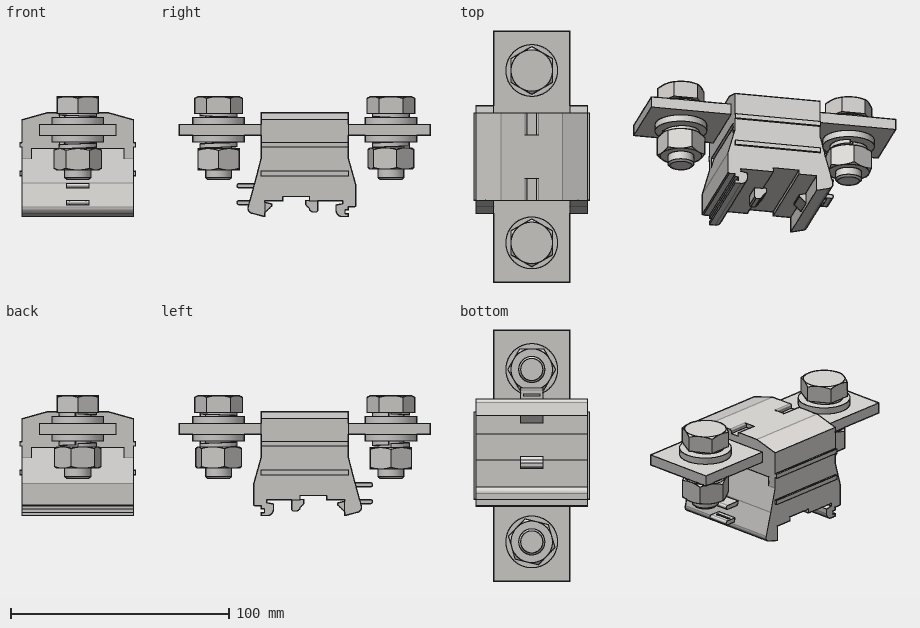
import cadquery as cq
import math

BAR_LENGTH = 115.0
BAR_WIDTH = 35.0
BAR_BOTTOM = 37.3
BAR_TOP = 42.3
BAR_MIDDLE = (BAR_BOTTOM + BAR_TOP) / 2

HOUSING_WIDTH = 51.1
HOUSING_LENGTH = 40.0
HOUSING_TOP = 47.6
ROOF_FLAT_WIDTH = 28.1
EAVES_HEIGHT = 44.4
HALF_LENGTH = HOUSING_LENGTH / 2
SKIRT_TOP = 26.7
FRONT_CREASE = (-22.9, 15.5)
BACK_CREASE = (23.3, 14.7)
RECESS_WIDTH = 42.5
RECESS_TOP = 31.2

RAIL_SEAT = 7.2
POCKET_TOP = 9.2
POCKET_FRONT = -10.0
POCKET_BACK = 2.1
FRONT_FOOT_INNER = -18.3
FRONT_FOOT_CORNER = (-26.6, 2.2)
FRONT_FOOT_RADIUS = 4.7 / 2
HOOK_INNER = 14.3
HOOK_ROOT = 17.4
HOOK_RADIUS = 3.0
HOOK_LIP = (HOOK_INNER, 5.4)
HOOK_THROAT = 6.0
NOTCH_FACE = 18.5
NOTCH_BOTTOM = 1.4
NOTCH_TOP = 3.1
HEEL_HEIGHT = 4.5
HEEL_CHAMFER_WIDTH = 0.6
HEEL_CHAMFER_HEIGHT = 0.3

RIB_SPAN = 53.0
RIB_HEIGHT = 2.1
RIB_CENTRES = (19.8, 32.9)

LABEL_SLOT_RIM_WIDTH = 6.0
LABEL_SLOT_LENGTH = 10.0
LABEL_SLOT_DEPTH = 2.0
LABEL_SLOT_ROUND = 0.9

LATCH_WIDTH = 10.2
FINGER_TOP = 7.5
LATCH_FINGER = [
    (6.0, FINGER_TOP),
    (6.0, 2.8),
    (5.3, 2.1),
    (3.5, 2.1),
    (2.1, 3.2),
    (2.1, 3.8),
    (0.3, 5.5),
    (0.3, FINGER_TOP),
]
LATCH_NOSE = [
    (FRONT_FOOT_INNER, 6.7),
    (-15.1, 5.9),
    (-15.1, 5.0),
    (FRONT_FOOT_INNER, 1.8),
]
TAB_TIP = -31.0
TAB_ROOT = -20.7
TAB_THICKNESS = 2.0
SLOTTED_TAB_CENTRE = 6.4
PLAIN_TAB_CENTRE = 14.1
TAB_SLOT_LENGTH = 7.5
TAB_SLOT_WIDTH = 1.0
TAB_SLOT_SETBACK = 3.3

SCREW_OFFSET = 39.5
SCREW_DIAMETER = 12.0
SCREW_TIP = 17.0
SCREW_TIP_CHAMFER = 0.9
HEX_FLATS = 19.0
HEAD_BOTTOM = 47.2
HEAD_TOP = 55.0
HEAD_TURN = 90
HEX_CHAMFER = 0.8
NUT_HEIGHT = 9.8
FRONT_NUT_TOP = 31.2
BACK_NUT_TOP = 31.5
FRONT_NUT_TURN = 0
BACK_NUT_TURN = 13.8
WASHER_DIAMETER = 23.7
WASHER_THICKNESS = 3.1
SPRING_DIAMETER = 17.0
SPRING_BITE = 0.2
SPRING_THICKNESS = 2.0
SPRING_RISE = 1.4
SPRING_BOTTOM = 31.0
SPRING_GAP_ANGLE = 8.0
FRONT_SPLIT_ANGLE = 180
BACK_SPLIT_ANGLE = 90


def box_between(x_range, y_range, z_range):
    """Box given by its limits along each axis."""
    (x0, x1), (y0, y1), (z0, z1) = x_range, y_range, z_range
    return cq.Workplane("XY").box(x1 - x0, y1 - y0, z1 - z0, centered=False).translate((x0, y0, z0))


def centred(width):
    """Limits of a width centred on zero."""
    return (-width / 2, width / 2)


def housing_block():
    """Side profile of the housing and its rail feet, extruded over the full width."""
    profile = (
        cq.Workplane("YZ")
        .moveTo(-HALF_LENGTH, HOUSING_TOP)
        .lineTo(-HALF_LENGTH, SKIRT_TOP)
        .lineTo(*FRONT_CREASE)
        .lineTo(*FRONT_FOOT_CORNER)
        .lineTo(FRONT_FOOT_INNER, 0)
        .lineTo(FRONT_FOOT_INNER, RAIL_SEAT)
        .lineTo(POCKET_FRONT, RAIL_SEAT)
        .lineTo(POCKET_FRONT, POCKET_TOP)
        .lineTo(POCKET_BACK, POCKET_TOP)
        .lineTo(POCKET_BACK, RAIL_SEAT)
        .lineTo(HOOK_ROOT, RAIL_SEAT)
        .lineTo(HOOK_ROOT, HOOK_THROAT)
        .lineTo(*HOOK_LIP)
        .lineTo(HOOK_INNER, HOOK_RADIUS)
        .radiusArc((HOOK_INNER + HOOK_RADIUS, 0), -HOOK_RADIUS)
        .lineTo(HALF_LENGTH, 0)
        .lineTo(HALF_LENGTH, NOTCH_BOTTOM)
        .lineTo(NOTCH_FACE, NOTCH_BOTTOM)
        .lineTo(NOTCH_FACE, NOTCH_TOP)
        .lineTo(HALF_LENGTH, NOTCH_TOP)
        .lineTo(HALF_LENGTH, HEEL_HEIGHT)
        .lineTo(BACK_CREASE[0] - HEEL_CHAMFER_WIDTH, HEEL_HEIGHT)
        .lineTo(BACK_CREASE[0], HEEL_HEIGHT + HEEL_CHAMFER_HEIGHT)
        .lineTo(*BACK_CREASE)
        .lineTo(HALF_LENGTH, SKIRT_TOP)
        .lineTo(HALF_LENGTH, HOUSING_TOP)
        .close()
    )
    block = profile.extrude(HOUSING_WIDTH / 2, both=True)
    foot_edge = cq.selectors.NearestToPointSelector((0, *FRONT_FOOT_CORNER))
    return block.edges(foot_edge).fillet(FRONT_FOOT_RADIUS)


def roof_slope(side):
    """Wedge that slopes the roof off towards one side wall."""
    return (
        cq.Workplane("XZ")
        .polyline([
            (side * ROOF_FLAT_WIDTH / 2, HOUSING_TOP),
            (side * HOUSING_WIDTH / 2, EAVES_HEIGHT),
            (side * HOUSING_WIDTH / 2, HOUSING_TOP),
        ])
        .close()
        .extrude(HALF_LENGTH, both=True)
    )


def skirt_recess(end, crease):
    """Wedge cut that carries the flared skirt upwards, inwards of the end wall."""
    flare = (abs(crease[0]) - HALF_LENGTH) / (SKIRT_TOP - crease[1])
    depth = flare * (RECESS_TOP - SKIRT_TOP)
    return (
        cq.Workplane("YZ")
        .polyline([
            (end * HALF_LENGTH, SKIRT_TOP),
            (end * HALF_LENGTH, RECESS_TOP),
            (end * (HALF_LENGTH - depth), RECESS_TOP),
        ])
        .close()
        .extrude(RECESS_WIDTH / 2, both=True)
    )


def label_slot(end):
    """Roof slot with rounded rims, open at one end wall."""
    floor = HOUSING_TOP - LABEL_SLOT_DEPTH
    rim_start = HOUSING_TOP - LABEL_SLOT_ROUND
    half_rim = LABEL_SLOT_RIM_WIDTH / 2
    half_floor = half_rim - LABEL_SLOT_ROUND
    profile = (
        cq.Workplane("XZ")
        .moveTo(-half_rim, HOUSING_TOP)
        .radiusArc((-half_floor, rim_start), LABEL_SLOT_ROUND)
        .lineTo(-half_floor, floor)
        .lineTo(half_floor, floor)
        .lineTo(half_floor, rim_start)
        .radiusArc((half_rim, HOUSING_TOP), LABEL_SLOT_ROUND)
        .close()
    )
    slot_centre = end * (HALF_LENGTH - LABEL_SLOT_LENGTH / 2)
    return profile.extrude(LABEL_SLOT_LENGTH / 2, both=True).translate((0, slot_centre, 0))


def housing():
    body = housing_block()
    for side in (-1, 1):
        body = body.cut(roof_slope(side))
    for end, crease in ((-1, FRONT_CREASE), (1, BACK_CREASE)):
        body = body.cut(skirt_recess(end, crease)).cut(label_slot(end))
    for height in RIB_CENTRES:
        rib_heights = (height - RIB_HEIGHT / 2, height + RIB_HEIGHT / 2)
        body = body.union(box_between(centred(RIB_SPAN), centred(HOUSING_LENGTH), rib_heights))
    return body


def release_tab(height):
    """Plain tab with a rounded tip, projecting from the -Y skirt."""
    heights = (height - TAB_THICKNESS / 2, height + TAB_THICKNESS / 2)
    tip_centre = TAB_TIP + TAB_THICKNESS / 2
    tab = box_between(centred(LATCH_WIDTH), (tip_centre, TAB_ROOT), heights)
    tip = (
        cq.Workplane("YZ")
        .center(tip_centre, height)
        .circle(TAB_THICKNESS / 2)
        .extrude(LATCH_WIDTH / 2, both=True)
    )
    return tab.union(tip)


def slotted_tab(height):
    """Release tab with a narrow slot through its thickness."""
    slot = cq.Workplane("XY").box(TAB_SLOT_LENGTH, TAB_SLOT_WIDTH, 2 * TAB_THICKNESS)
    return release_tab(height).cut(slot.translate((0, TAB_TIP + TAB_SLOT_SETBACK, height)))


def latch():
    """Spring finger and wedge nose of the rail latch, under the housing."""
    finger = cq.Workplane("YZ").polyline(LATCH_FINGER).close().extrude(LATCH_WIDTH / 2, both=True)
    nose = cq.Workplane("YZ").polyline(LATCH_NOSE).close().extrude(LATCH_WIDTH / 2, both=True)
    return finger.union(nose)


def disc(diameter, bottom, top):
    return cq.Workplane("XY").workplane(offset=bottom).circle(diameter / 2).extrude(top - bottom)


def chamfered_hex(bottom, top, turn, both_ends):
    """Hexagon with a corner at angle `turn` from +X and its corners turned off conically."""
    corner_diameter = HEX_FLATS / math.cos(math.pi / 6)
    prism = cq.Workplane("XY").workplane(offset=bottom).polygon(6, corner_diameter).extrude(top - bottom)
    chamfer_width = (corner_diameter - HEX_FLATS) / 2
    envelope = disc(corner_diameter, bottom, top)
    envelope = envelope.faces(">Z").chamfer(HEX_CHAMFER, chamfer_width)
    if both_ends:
        envelope = envelope.faces("<Z").chamfer(HEX_CHAMFER, chamfer_width)
    return prism.intersect(envelope).rotate((0, 0, 0), (0, 0, 1), turn)


def spring_washer(split_angle):
    """Split ring rising anticlockwise from `split_angle` up to the flat washer."""
    turns = 1 - SPRING_GAP_ANGLE / 360
    inner = SCREW_DIAMETER / 2 - SPRING_BITE
    width = SPRING_DIAMETER / 2 - inner
    path = cq.Wire.makeHelix(SPRING_RISE / turns, SPRING_RISE, inner + width / 2)
    ring = (
        cq.Workplane("XZ")
        .center(inner + width / 2, SPRING_THICKNESS / 2)
        .rect(width, SPRING_THICKNESS)
        .sweep(cq.Workplane(path), isFrenet=True)
    )
    return ring.rotate((0, 0, 0), (0, 0, 1), split_angle).translate((0, 0, SPRING_BOTTOM))


def screw_joint(nut_top, nut_turn, split_angle):
    """Screw with nut and mirrored pairs of flat and spring washers, on the Z axis."""
    shank = disc(SCREW_DIAMETER, SCREW_TIP, HEAD_BOTTOM).faces("<Z").chamfer(SCREW_TIP_CHAMFER)
    head = chamfered_hex(HEAD_BOTTOM, HEAD_TOP, HEAD_TURN, both_ends=False)
    nut = chamfered_hex(nut_top - NUT_HEIGHT, nut_top, nut_turn, both_ends=True)
    washers = disc(WASHER_DIAMETER, BAR_BOTTOM - WASHER_THICKNESS, BAR_TOP + WASHER_THICKNESS)
    lower_spring = spring_washer(split_angle)
    upper_spring = lower_spring.mirror("XY", (0, 0, BAR_MIDDLE))
    joint = shank.union(head).union(nut).union(washers)
    return joint.union(lower_spring).union(upper_spring)


bar = box_between(centred(BAR_WIDTH), centred(BAR_LENGTH), (BAR_BOTTOM, BAR_TOP))
front_joint = screw_joint(FRONT_NUT_TOP, FRONT_NUT_TURN, FRONT_SPLIT_ANGLE)
back_joint = screw_joint(BACK_NUT_TOP, BACK_NUT_TURN, BACK_SPLIT_ANGLE)

result = housing().union(bar).union(latch())
result = result.union(slotted_tab(SLOTTED_TAB_CENTRE)).union(release_tab(PLAIN_TAB_CENTRE))
result = result.union(front_joint.translate((0, -SCREW_OFFSET, 0)))
result = result.union(back_joint.translate((0, SCREW_OFFSET, 0)))